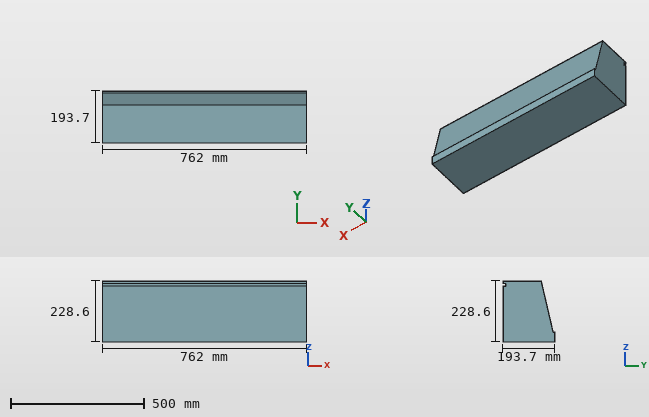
import cadquery as cq

length = 762.0
depth = 193.675
height = 228.6

top_depth = 142.875
foot_height = 38.1
ledge_width = 6.35

groove_depth = 9.525
groove_width = 9.525
lip_thickness = 9.525


def make_body():
    """Extrude the end profile (Y, Z) along the length; the front face lies at Y = 0."""
    profile = [
        (0, 0),
        (depth, 0),
        (depth, foot_height),
        (depth - ledge_width, foot_height),
        (top_depth, height),
        (0, height),
    ]
    return cq.Workplane("YZ").polyline(profile).close().extrude(length)


def make_groove():
    """Rectangular bar that cuts the full-length groove into the front face."""
    groove_bottom = height - lip_thickness - groove_width
    return cq.Workplane("XY").box(length, groove_depth, groove_width, centered=False).translate(
        (0, 0, groove_bottom)
    )


result = make_body().cut(make_groove())